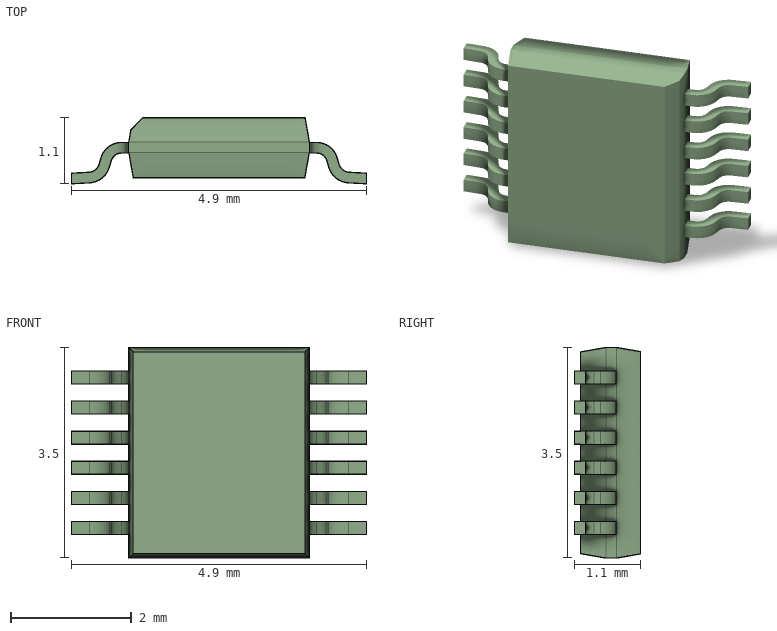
import cadquery as cq
import math

body_width = 3.0
body_length = 3.5
overall_width = 4.9
standoff = 0.1
package_height = 1.1

band_bottom = 0.525
band_top = 0.70
draft_angle = 10.0
bevel_width = 0.235
bevel_height = 0.20

leads_per_side = 6
lead_pitch = 0.5
lead_width = 0.22
lead_thickness = 0.18
shoulder_top = 0.69
shoulder_length = 0.12
lead_embed = 0.1
shank_angle = 73.5
foot_angle = 3.0
upper_bend_radius = 0.265
lower_bend_radius = 0.275


def drafted_half(start_y, height):
    """Half of the body, tapering from the band; a negative height goes down."""
    return (
        cq.Workplane("XZ", origin=(0, start_y, 0))
        .rect(body_width, body_length)
        .extrude(-height, taper=draft_angle)
    )


def drafted_band():
    """Straight-sided band where the leads leave the body."""
    return (
        cq.Workplane("XZ", origin=(0, band_bottom, 0))
        .rect(body_width, body_length)
        .extrude(band_bottom - band_top)
    )


def make_bevel_cutter():
    """Prism that removes the top edge on the -X side."""
    draft_inset = (package_height - bevel_height - band_top) * math.tan(math.radians(draft_angle))
    high = (-body_width / 2 + bevel_width, package_height)
    low = (-body_width / 2 + draft_inset, package_height - bevel_height)
    outside_x = -body_width / 2 - bevel_width
    return (
        cq.Workplane("XY")
        .polyline([high, low, (outside_x, low[1]), (outside_x, package_height)])
        .close()
        .extrude(body_length / 2, both=True)
    )


def make_body():
    """Moulded body with a bevel along the pin-1 side of its top."""
    band = drafted_band()
    upper = drafted_half(band_top, package_height - band_top)
    lower = drafted_half(band_bottom, standoff - band_bottom)
    return band.union(upper).union(lower).cut(make_bevel_cutter())


def polar(center, radius, angle):
    """Point at a radius from a center; the angle is clockwise from +Y."""
    a = math.radians(angle)
    return (center[0] + radius * math.sin(a), center[1] + radius * math.cos(a))


def make_lead():
    """One lead of the +X row, centred on Z = 0."""
    half = lead_thickness / 2
    shank = math.radians(shank_angle)
    foot = math.radians(foot_angle)
    tip_x = overall_width / 2
    root_x = body_width / 2 - lead_embed

    upper_center = (body_width / 2 + shoulder_length, shoulder_top - half - upper_bend_radius)
    upper_outer = upper_bend_radius + half
    upper_inner = upper_bend_radius - half
    lower_outer = lower_bend_radius + half
    lower_inner = lower_bend_radius - half

    center_gap = upper_bend_radius + lower_bend_radius
    no_shank_x = upper_center[0] + center_gap * math.sin(shank)
    no_shank_y = upper_center[1] + center_gap * math.cos(shank)
    tip_y = no_shank_y - lower_outer / math.cos(foot) - (tip_x - no_shank_x) * math.tan(foot)
    shank_length = tip_y / (math.sin(shank) - math.cos(shank) * math.tan(foot))
    lower_center = (
        no_shank_x + shank_length * math.cos(shank),
        no_shank_y - shank_length * math.sin(shank),
    )

    upper_mid = shank_angle / 2
    lower_start = shank_angle + 180
    lower_end = foot_angle + 180
    lower_mid = (lower_start + lower_end) / 2
    tip_top = lead_thickness / math.cos(foot)
    shoulder_bottom = shoulder_top - lead_thickness

    profile = (
        cq.Workplane("XY")
        .moveTo(root_x, shoulder_top)
        .lineTo(upper_center[0], shoulder_top)
        .threePointArc(
            polar(upper_center, upper_outer, upper_mid),
            polar(upper_center, upper_outer, shank_angle),
        )
        .lineTo(*polar(lower_center, lower_inner, lower_start))
        .threePointArc(
            polar(lower_center, lower_inner, lower_mid),
            polar(lower_center, lower_inner, lower_end),
        )
        .lineTo(tip_x, tip_top)
        .lineTo(tip_x, 0)
        .lineTo(*polar(lower_center, lower_outer, lower_end))
        .threePointArc(
            polar(lower_center, lower_outer, lower_mid),
            polar(lower_center, lower_outer, lower_start),
        )
        .lineTo(*polar(upper_center, upper_inner, shank_angle))
        .threePointArc(
            polar(upper_center, upper_inner, upper_mid),
            (upper_center[0], shoulder_bottom),
        )
        .lineTo(root_x, shoulder_bottom)
        .close()
    )
    return profile.extrude(lead_width / 2, both=True)


def make_package():
    """Body with a row of leads on its -X and +X sides."""
    package = make_body()
    right_lead = make_lead()
    left_lead = right_lead.mirror("YZ")
    for index in range(leads_per_side):
        z = (index - (leads_per_side - 1) / 2) * lead_pitch
        package = package.union(right_lead.translate((0, 0, z)))
        package = package.union(left_lead.translate((0, 0, z)))
    return package


result = make_package()